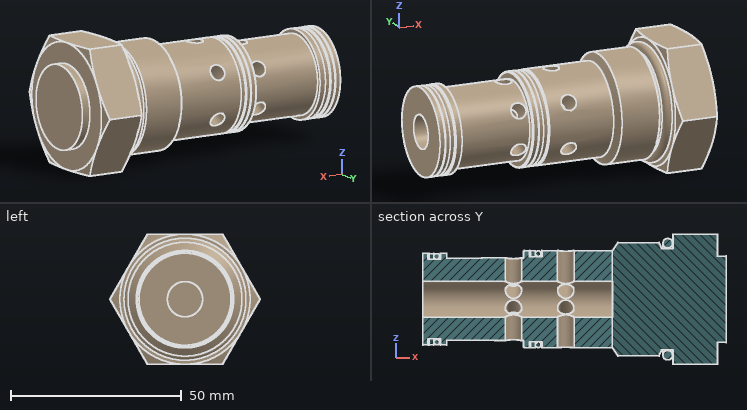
import cadquery as cq
import math


overall_length = 88.9
nose_length = 7.1
step_x = 29.5
adapter_x = 55.5
thread_end_x = 69.9
hex_x = 73.2
hex_end_x = 86.3

nose_diameter = 26.98
tube_diameter = 24.26
sleeve_diameter = 28.55
sleeve_edge_chamfer = 0.3
bore_diameter = 10.31

cross_hole_diameter = 4.75
cross_holes_per_row = 6
cross_hole_rows_x = (26.6, 41.9)

groove_width = 3.55
seal_gap = 0.25
backup_ring_width = 1.39
seal_section = 1.75
nose_groove_x = 1.65
nose_backup_diameter = 26.92
nose_groove_diameter = nose_backup_diameter - 2 * seal_section
sleeve_land_width = 1.85
sleeve_groove_x = step_x + sleeve_land_width
sleeve_backup_diameter = 28.5
sleeve_groove_diameter = sleeve_backup_diameter - 2 * seal_section

thread_diameter = 33.34
thread_end_diameter = 30.4
neck_diameter = 29.85
lead_length = 1.6
thread_end_chamfer_length = 0.7
hex_sides = 6
hex_across_flats = 38.1
hex_chamfer_angle = 19.0
stub_diameter = 25.4
port_seal_section = 2.95


def cylinder(diameter, start_x, end_x):
    """Solid cylinder on the X axis."""
    return cq.Workplane("YZ", origin=(start_x, 0, 0)).circle(diameter / 2).extrude(end_x - start_x)


def tube(outer_diameter, inner_diameter, start_x, end_x):
    """Hollow cylinder on the X axis."""
    return cylinder(outer_diameter, start_x, end_x).cut(cylinder(inner_diameter, start_x, end_x))


def cone(start_diameter, end_diameter, start_x, end_x):
    """Truncated cone on the X axis."""
    profile = [
        (start_x, 0),
        (start_x, start_diameter / 2),
        (end_x, end_diameter / 2),
        (end_x, 0),
    ]
    return cq.Workplane("XY").polyline(profile).close().revolve(360, (0, 0, 0), (1, 0, 0))


def o_ring(inner_diameter, section, start_x):
    """Round-section ring whose low-X side lies at start_x."""
    center = (start_x + section / 2, (inner_diameter + section) / 2)
    axis_start = (0, -center[1], 0)
    axis_end = (1, -center[1], 0)
    return cq.Workplane("XY").center(*center).circle(section / 2).revolve(360, axis_start, axis_end)


def backup_ring(outer_diameter, inner_diameter, groove_x):
    """Flat ring near the low-X wall of a groove."""
    start_x = groove_x + seal_gap
    return tube(outer_diameter, inner_diameter, start_x, start_x + backup_ring_width)


def make_cage():
    """Stepped tube with two seal grooves and two rows of cross holes; the adapter closes its far end."""
    nose = cylinder(nose_diameter, 0, nose_length)
    waist = cylinder(tube_diameter, nose_length, step_x)
    sleeve = cylinder(sleeve_diameter, step_x, adapter_x).faces("<X").chamfer(sleeve_edge_chamfer)
    body = nose.union(waist).union(sleeve)
    nose_groove_end = nose_groove_x + groove_width
    sleeve_groove_end = sleeve_groove_x + groove_width
    body = body.cut(tube(nose_diameter, nose_groove_diameter, nose_groove_x, nose_groove_end))
    body = body.cut(tube(sleeve_diameter, sleeve_groove_diameter, sleeve_groove_x, sleeve_groove_end))
    body = body.cut(cylinder(bore_diameter, 0, adapter_x))
    for row_x in cross_hole_rows_x:
        for index in range(cross_holes_per_row):
            hole = cq.Workplane("XY", origin=(row_x, 0, 0)).circle(cross_hole_diameter / 2)
            hole = hole.extrude(sleeve_diameter)
            angle = index * 360 / cross_holes_per_row
            body = body.cut(hole.rotate((0, 0, 0), (1, 0, 0), angle))
    return body


def make_hex():
    """Hexagon with flats facing +Z and -Z, both ends beveled at the corners."""
    corner_diameter = hex_across_flats / math.cos(math.pi / hex_sides)
    length = hex_end_x - hex_x
    prism = cq.Workplane("YZ", origin=(hex_x, 0, 0)).polygon(hex_sides, corner_diameter).extrude(length)
    bevel_length = (corner_diameter - hex_across_flats) / 2 * math.tan(math.radians(hex_chamfer_angle))
    bevel_start = hex_x + bevel_length
    bevel_end = hex_end_x - bevel_length
    envelope = cone(hex_across_flats, corner_diameter, hex_x, bevel_start)
    envelope = envelope.union(cylinder(corner_diameter, bevel_start, bevel_end))
    envelope = envelope.union(cone(corner_diameter, hex_across_flats, bevel_end, hex_end_x))
    return prism.intersect(envelope)


def make_adapter():
    """Plain shank at thread diameter, seal neck, hexagon and end stub in one piece."""
    lead_end = adapter_x + lead_length
    chamfer_start = thread_end_x - thread_end_chamfer_length
    body = cone(sleeve_diameter, thread_diameter, adapter_x, lead_end)
    body = body.union(cylinder(thread_diameter, lead_end, chamfer_start))
    body = body.union(cone(thread_diameter, thread_end_diameter, chamfer_start, thread_end_x))
    body = body.union(cylinder(neck_diameter, thread_end_x, hex_x))
    body = body.union(make_hex())
    return body.union(cylinder(stub_diameter, hex_end_x, overall_length))


cage = make_cage()
adapter = make_adapter()
nose_backup = backup_ring(nose_backup_diameter, nose_groove_diameter, nose_groove_x)
sleeve_backup = backup_ring(sleeve_backup_diameter, sleeve_groove_diameter, sleeve_groove_x)
o_ring_offset = seal_gap + backup_ring_width
nose_o_ring = o_ring(nose_groove_diameter, seal_section, nose_groove_x + o_ring_offset)
sleeve_o_ring = o_ring(sleeve_groove_diameter, seal_section, sleeve_groove_x + o_ring_offset)
port_o_ring = o_ring(neck_diameter, port_seal_section, hex_x - port_seal_section)

result = cq.Compound.makeCompound([
    cage.val(),
    adapter.val(),
    nose_backup.val(),
    nose_o_ring.val(),
    sleeve_backup.val(),
    sleeve_o_ring.val(),
    port_o_ring.val(),
])